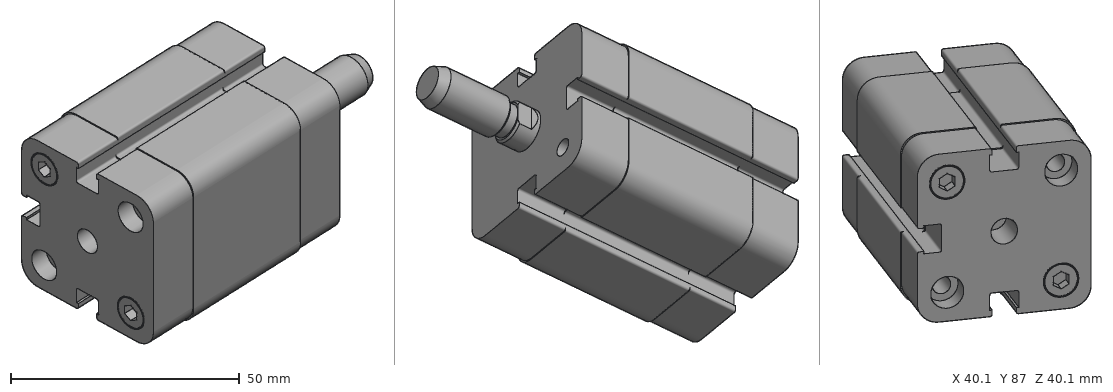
import cadquery as cq
import math


rear_joint = 12.6
front_joint = 46.8
body_end = 59.6
flat_start = 60.4
collar_end = 65.2
end_start = 67.5
rod_tip = 87.0

barrel_size = 40.1
cap_inset = 0.3
cap_size = barrel_size - 2 * cap_inset
corner_radius = 5.0

mouth_width = 5.5
slot_width = 6.6
lip_inner_height = 18.3
slot_floor_height = 14.5
mouth_radius = 0.5
floor_radius = 0.5
slot_angles = (0, 90, 180)

bolt_offset = 13.0
through_diameter = 4.2
counterbore_diameter = 7.5
counterbore_depth = 4.6
center_hole_diameter = 6.0
center_hole_depth = 8.7
screw_recess_diameter = 8.0
screw_head_diameter = 7.5
screw_gap_depth = 0.4
hex_across_flats = 3.6
hex_depth = 2.6
hex_turn = 30

rod_diameter = 10.0
neck_diameter = 8.0
tip_diameter = 8.0
tip_chamfer_length = 2.7
edge_chamfer = 0.5
wrench_flats = 8.0


def box_profile(size, y_start, y_end):
    """Square bar along Y with rounded long edges."""
    length = y_end - y_start
    bar = cq.Workplane("XY").box(size, length, size).edges("|Y").fillet(corner_radius)
    return bar.translate((0, (y_start + y_end) / 2, 0))


def slot_cutter(size, floor_height, y_start, y_end):
    """T-slot opening toward +Z, with a flared round mouth and rounded floor corners."""
    face_height = size / 2
    half_mouth = mouth_width / 2
    half_slot = slot_width / 2
    half_flare = half_mouth + mouth_radius
    round_start = face_height - mouth_radius
    floor_half = half_slot - floor_radius
    wall_start = floor_height + floor_radius
    return (
        cq.Workplane("XZ", origin=(0, y_start, 0))
        .moveTo(-floor_half, floor_height)
        .lineTo(floor_half, floor_height)
        .radiusArc((half_slot, wall_start), -floor_radius)
        .lineTo(half_slot, lip_inner_height)
        .lineTo(half_mouth, lip_inner_height)
        .lineTo(half_mouth, round_start)
        .radiusArc((half_flare, face_height), mouth_radius)
        .lineTo(-half_flare, face_height)
        .radiusArc((-half_mouth, round_start), mouth_radius)
        .lineTo(-half_mouth, lip_inner_height)
        .lineTo(-half_slot, lip_inner_height)
        .lineTo(-half_slot, wall_start)
        .radiusArc((-floor_half, floor_height), -floor_radius)
        .close()
        .extrude(y_start - y_end)
    )


def slotted_section(size, floor_height, y_start, y_end):
    """One length of the housing with its T-slots."""
    section = box_profile(size, y_start, y_end)
    cutter = slot_cutter(size, floor_height, y_start, y_end)
    for angle in slot_angles:
        section = section.cut(cutter.rotate((0, 0, 0), (0, -1, 0), angle))
    return section


def rear_plane(points):
    """Workplane on the rear face; negative extrusions go into the body."""
    return cq.Workplane("XZ").pushPoints(points)


def housing():
    cap_floor = slot_floor_height - cap_inset
    rear_cap = slotted_section(cap_size, cap_floor, 0, rear_joint)
    barrel = slotted_section(barrel_size, slot_floor_height, rear_joint, front_joint)
    front_cap = slotted_section(cap_size, cap_floor, front_joint, body_end)
    return rear_cap.union(barrel).union(front_cap)


def mounting_holes():
    """Two counterbored through holes on one diagonal."""
    points = [(bolt_offset, bolt_offset), (-bolt_offset, -bolt_offset)]
    through = rear_plane(points).circle(through_diameter / 2).extrude(-body_end)
    counterbores = rear_plane(points).circle(counterbore_diameter / 2).extrude(-counterbore_depth)
    return through.union(counterbores)


def screw_details():
    """Gap around each flush screw head and its hexagon socket, on the other diagonal."""
    points = [(-bolt_offset, bolt_offset), (bolt_offset, -bolt_offset)]
    recesses = rear_plane(points).circle(screw_recess_diameter / 2).extrude(-screw_gap_depth)
    heads = rear_plane(points).circle(screw_head_diameter / 2).extrude(-screw_gap_depth)
    hex_corner_diameter = hex_across_flats / math.cos(math.pi / 6)
    socket = (
        cq.Workplane("XZ")
        .polygon(6, hex_corner_diameter)
        .extrude(-hex_depth)
        .rotate((0, 0, 0), (0, 1, 0), hex_turn)
    )
    details = recesses.cut(heads)
    for x, z in points:
        details = details.union(socket.translate((x, 0, z)))
    return details


def center_hole():
    return cq.Workplane("XZ").circle(center_hole_diameter / 2).extrude(-center_hole_depth)


def wrench_flat_cutter():
    """Removes one side of the collar, ending in a 45 degree run-out."""
    inner_x = wrench_flats / 2
    outer_x = rod_diameter / 2
    run_out = outer_x - inner_x
    return (
        cq.Workplane("XY")
        .moveTo(inner_x, collar_end)
        .lineTo(inner_x, flat_start + run_out)
        .lineTo(outer_x, flat_start)
        .lineTo(outer_x, collar_end)
        .close()
        .extrude(outer_x, both=True)
    )


def piston_rod():
    """Turned rod: collar with wrench flats, neck, and plain cylindrical end with a tapered tip."""
    rod_radius = rod_diameter / 2
    neck_radius = neck_diameter / 2
    shaft = (
        cq.Workplane("XY")
        .moveTo(0, front_joint)
        .lineTo(rod_radius, front_joint)
        .lineTo(rod_radius, collar_end - edge_chamfer)
        .lineTo(rod_radius - edge_chamfer, collar_end)
        .lineTo(neck_radius, collar_end)
        .lineTo(neck_radius, end_start)
        .lineTo(rod_radius - edge_chamfer, end_start)
        .lineTo(rod_radius, end_start + edge_chamfer)
        .lineTo(rod_radius, rod_tip - tip_chamfer_length)
        .lineTo(tip_diameter / 2, rod_tip)
        .lineTo(0, rod_tip)
        .close()
        .revolve(360, (0, 0, 0), (0, 1, 0))
    )
    flat = wrench_flat_cutter()
    return shaft.cut(flat).cut(flat.mirror("YZ"))


result = (
    housing()
    .union(piston_rod())
    .cut(mounting_holes())
    .cut(screw_details())
    .cut(center_hole())
)